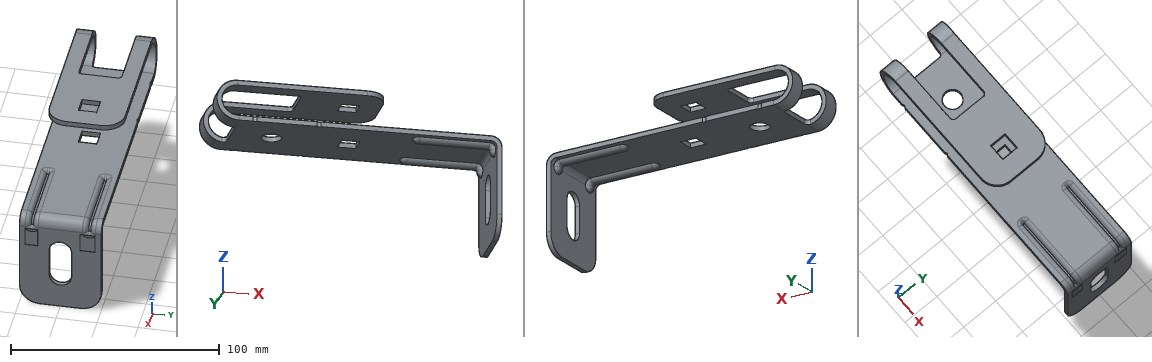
import cadquery as cq
import math


sheet = 2.5
width = 40.0
overall_length = 140.0
overall_height = 68.5
mark_relief = 0.2
leg_face_x = overall_length - mark_relief

bend_gap = 16.0
u_radius = bend_gap / 2 + sheet
u_height = 2 * u_radius
arm_width = 37.0
arm_end_x = 84.0
arm_corner = 10.0
window_width = 21.0
window_corner = 2.0
window_arm_x = 43.5
window_base_x = 11.0

round_hole_x = 31.0
round_hole_diameter = 10.0
square_hole_x = 69.0
square_hole_side = 9.0

nick_positions = (18.4, 49.9)
nick_chord = 2.0
nick_depth = 0.5

leg_radius = 5.5
leg_bottom_z = u_height - overall_height
leg_corner = 10.0
leg_slot_width = 11.0
leg_slot_length = 25.0
leg_slot_z = -22.7
bend_x = leg_face_x - leg_radius
bend_z = sheet - leg_radius

bead_offset = 14.0
bead_start_x = 100.1
bead_depth = 2.1
groove_half_width = 3.2
groove_floor_half = 0.5
ridge_half_width = 3.2
ridge_crest_half = 0.3
bead_overlap = 1.0

mark_spans = ((9.6, 16.9), (-17.2, -11.0))
mark_top_z = -4.2
mark_height = 9.4


def block(x0, x1, y0, y1, z0, z1):
    """Box given by its limits."""
    return cq.Workplane("XY").box(x1 - x0, y1 - y0, z1 - z0, centered=False).translate((x0, y0, z0))


def quarter_ring(outer, inner, axis_x, axis_z):
    """Upper right quarter of a tube across the full width."""
    ring = cq.Workplane("XZ").circle(outer).circle(inner).extrude(width / 2, both=True)
    quadrant = block(0, outer, -width / 2, width / 2, 0, outer)
    return ring.intersect(quadrant).translate((axis_x, 0, axis_z))


def make_u_bend():
    """Half tube whose side edges widen steadily from the arm to the base."""
    half_arm = arm_width / 2
    ring = cq.Workplane("XZ").circle(u_radius).circle(u_radius - sheet).extrude(width / 2, both=True)
    bend = ring.intersect(block(-u_radius, 0, -width / 2, width / 2, -u_radius, u_radius))
    clear_radius = u_radius + sheet
    trimmer = (
        cq.Workplane("XY")
        .moveTo(0, -clear_radius)
        .threePointArc((clear_radius, 0), (0, clear_radius))
        .close()
        .twistExtrude(width / 2 - half_arm, 180)
        .rotate((0, 0, 0), (1, 0, 0), 90)
        .translate((0, -half_arm, 0))
    )
    bend = bend.cut(trimmer).cut(trimmer.mirror("XZ"))
    return bend.translate((u_radius, 0, u_radius))


def make_arm():
    arm = block(u_radius, arm_end_x, -arm_width / 2, arm_width / 2, u_height - sheet, u_height)
    return arm.edges("|Z and >X").fillet(arm_corner)


def make_base():
    base = block(u_radius, bend_x, -width / 2, width / 2, 0, sheet)
    nick_radius = (nick_chord**2 / 4 + nick_depth**2) / (2 * nick_depth)
    nick_y = width / 2 - nick_depth + nick_radius
    centres = [(x, side * nick_y) for x in nick_positions for side in (-1, 1)]
    return base.cut(cq.Workplane("XY").pushPoints(centres).circle(nick_radius).extrude(sheet))


def make_leg():
    leg = block(leg_face_x - sheet, leg_face_x, -width / 2, width / 2, leg_bottom_z, bend_z)
    leg = leg.edges("|X and <Z").fillet(leg_corner)
    slot = (
        cq.Workplane("YZ", origin=(leg_face_x - sheet, 0, leg_slot_z))
        .slot2D(leg_slot_length, leg_slot_width, 90)
        .extrude(sheet)
    )
    return leg.cut(slot)


def window(end_x, z0, z1):
    """Opening through the U-bend that ends with rounded corners at end_x."""
    opening = block(0, end_x, -window_width / 2, window_width / 2, z0, z1)
    return opening.edges("|Z and >X").fillet(window_corner)


def bead_body(half_width, floor_half, rim_at_surface, surface_z):
    """Bead along the base and round the leg bend, with a rounded cap at each end.

    Each flank is one arc, tangent to the sheet surface if rim_at_surface is
    true, otherwise tangent to the floor (the crest of a ridge).
    """
    run = half_width - floor_half
    radius = (run**2 + bead_depth**2) / (2 * bead_depth)
    half_sweep = math.atan2(bead_depth, run)
    along = radius * math.sin(half_sweep)
    across = radius * (1 - math.cos(half_sweep))
    flank_middle = (run - along, -across) if rim_at_surface else (along, across - bead_depth)
    axis_z = bend_z - surface_z

    def flank(plane):
        """Section of one flank; the plane's origin lies above the edge of the floor."""
        return (
            plane.moveTo(0, bead_overlap)
            .lineTo(0, -bead_depth)
            .threePointArc(flank_middle, (run, 0))
            .lineTo(run, bead_overlap)
            .close()
        )

    def floor(plane):
        """Section of half the floor, up to the same origin as the flank."""
        return (
            plane.moveTo(0, bead_overlap)
            .lineTo(-floor_half, bead_overlap)
            .lineTo(-floor_half, -bead_depth)
            .lineTo(0, -bead_depth)
            .close()
        )

    def cross_plane(x):
        return cq.Workplane("YZ", origin=(x, floor_half, surface_z))

    def cap(x):
        """Corner of the bead end plus the strip that joins it to its mirror image."""
        tip_plane = cq.Plane(origin=(x, 0, surface_z), xDir=(-1, 0, 0), normal=(0, 1, 0))
        corner = flank(cross_plane(x)).revolve(360, (0, 0), (0, 1))
        return corner.union(flank(cq.Workplane(tip_plane)).extrude(floor_half))

    half = cap(bead_start_x)
    far_cap = cap(bend_x).mirror("YZ", (bend_x, 0, 0))
    half = half.union(far_cap.rotate((bend_x, 0, bend_z), (bend_x, 1, bend_z), 90))
    for section in (flank, floor):
        half = half.union(section(cross_plane(bead_start_x)).extrude(bend_x - bead_start_x))
        half = half.union(section(cross_plane(bend_x)).revolve(90, (0, axis_z), (1, axis_z)))
    return half.union(half.mirror("XZ"))


def make_mark(low_y, high_y):
    """Thin raised pad on the back of the leg."""
    return block(leg_face_x, overall_length, low_y, high_y, mark_top_z - mark_height, mark_top_z)


bracket = make_base().union(make_u_bend()).union(make_arm()).union(make_leg())
bracket = bracket.union(quarter_ring(leg_radius, leg_radius - sheet, bend_x, bend_z))

bracket = bracket.cut(window(window_arm_x, u_radius, u_height))
bracket = bracket.cut(window(window_base_x, 0, u_radius))
round_hole = cq.Workplane("XY").center(round_hole_x, 0).circle(round_hole_diameter / 2)
bracket = bracket.cut(round_hole.extrude(sheet))
square_hole = cq.Workplane("XY").center(square_hole_x, 0).rect(square_hole_side, square_hole_side)
bracket = bracket.cut(square_hole.extrude(u_height))

ridge = bead_body(ridge_half_width, ridge_crest_half, False, 0)
groove = bead_body(groove_half_width, groove_floor_half, True, sheet)
for bead_y in (-bead_offset, bead_offset):
    bracket = bracket.union(ridge.translate((0, bead_y, 0)))
    bracket = bracket.cut(groove.translate((0, bead_y, 0)))

for low, high in mark_spans:
    bracket = bracket.union(make_mark(low, high))

result = bracket